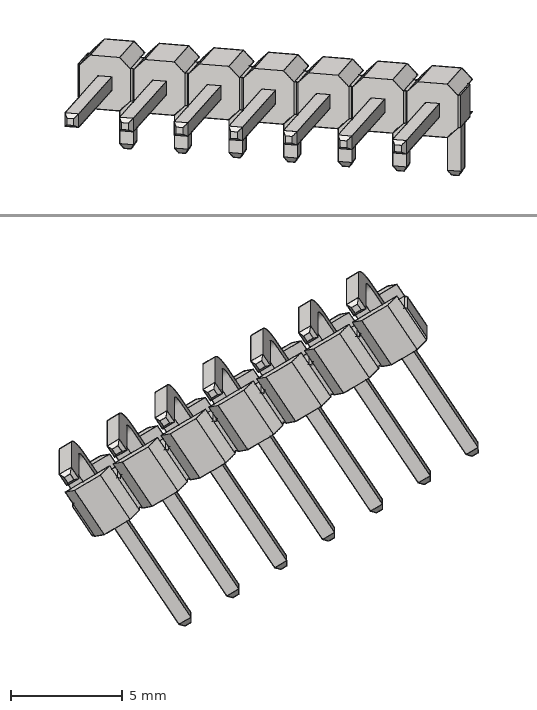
import cadquery as cq
import math


row_length = 17.78
pin_count = 7
pitch = row_length / pin_count

cell_width = 2.36
cell_height = 2.52
cell_bevel = 0.5
housing_depth = 2.5
slot_depth = 0.65
notch_depth = 0.1

flat_height = cell_height - 2 * cell_bevel
slot_floor_y = housing_depth - slot_depth

pin_size = 0.64
front_length = 5.97
total_depth = 10.35
total_height = 5.55
bend_inner_radius = 0.53
tip_length = 0.27
tip_inset = 0.16

half_pin = pin_size / 2
bend_outer_radius = bend_inner_radius + pin_size
leg_y = total_depth - front_length - half_pin
leg_bottom_z = cell_height / 2 - total_height
bend_radius = bend_inner_radius + half_pin
bend_start_y = leg_y - bend_radius


def cell_positions():
    """X position of every pin, centred on the row."""
    return [(i - (pin_count - 1) / 2) * pitch for i in range(pin_count)]


def make_octagon_cell(x):
    """Octagonal prism running the full depth of the housing."""
    return (
        cq.Workplane("XY")
        .box(cell_width, housing_depth, cell_height)
        .edges("|Y")
        .chamfer(cell_bevel)
        .translate((x, housing_depth / 2, 0))
    )


def make_link(x):
    """Web one pitch wide, tapered at the front and back to leave notches between cells."""
    half_cell = cell_width / 2
    half_pitch = pitch / 2
    return (
        cq.Workplane("XY")
        .polyline([
            (-half_cell, 0),
            (half_cell, 0),
            (half_pitch, notch_depth),
            (half_pitch, slot_floor_y - notch_depth),
            (half_cell, slot_floor_y),
            (-half_cell, slot_floor_y),
            (-half_pitch, slot_floor_y - notch_depth),
            (-half_pitch, notch_depth),
        ])
        .close()
        .extrude(flat_height / 2, both=True)
        .translate((x, 0, 0))
    )


def make_housing():
    """Row of linked cells with a rear slot and a square hole for each pin."""
    housing = cq.Workplane("XY")
    for x in cell_positions():
        housing = housing.union(make_octagon_cell(x)).union(make_link(x))

    rear_slot = (
        cq.Workplane("XY")
        .box(row_length, slot_depth, flat_height)
        .translate((0, slot_floor_y + slot_depth / 2, 0))
    )
    housing = housing.cut(rear_slot)

    for x in cell_positions():
        pin_hole = (
            cq.Workplane("XY")
            .box(pin_size, housing_depth, pin_size)
            .translate((x, housing_depth / 2, 0))
        )
        housing = housing.cut(pin_hole)
    return housing


def make_tip(base_plane):
    """Blunt four-sided point growing from the base plane along its normal."""
    end_size = pin_size - 2 * tip_inset
    return (
        cq.Workplane(base_plane)
        .rect(pin_size, pin_size)
        .workplane(offset=tip_length)
        .rect(end_size, end_size)
        .loft(combine=True)
    )


def make_pin(x):
    """Square pin bent down behind the housing, with a blunt point at both ends."""
    front_y = tip_length - front_length
    bottom_z = leg_bottom_z + tip_length
    leg_back_y = leg_y + half_pin
    leg_front_y = leg_y - half_pin
    bend_center = (bend_start_y, -bend_radius)

    def bend_midpoint(radius):
        offset = radius * math.sin(math.radians(45))
        return bend_center[0] + offset, bend_center[1] + offset

    body = (
        cq.Workplane("YZ")
        .moveTo(front_y, half_pin)
        .lineTo(bend_start_y, half_pin)
        .threePointArc(bend_midpoint(bend_outer_radius), (leg_back_y, -bend_radius))
        .lineTo(leg_back_y, bottom_z)
        .lineTo(leg_front_y, bottom_z)
        .lineTo(leg_front_y, -bend_radius)
        .threePointArc(bend_midpoint(bend_inner_radius), (bend_start_y, -half_pin))
        .lineTo(front_y, -half_pin)
        .close()
        .extrude(half_pin, both=True)
    )
    mating_tip = make_tip(cq.Plane(origin=(0, front_y, 0), xDir=(1, 0, 0), normal=(0, -1, 0)))
    leg_tip = make_tip(cq.Plane(origin=(0, leg_y, bottom_z), xDir=(1, 0, 0), normal=(0, 0, -1)))
    return body.union(mating_tip).union(leg_tip).translate((x, 0, 0))


housing = make_housing()
pins = [make_pin(x) for x in cell_positions()]

result = cq.Compound.makeCompound([housing.solids().val(), *[pin.solids().val() for pin in pins]])